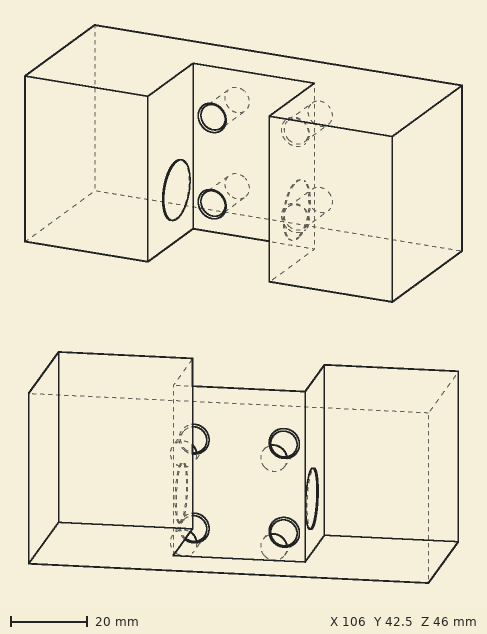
import cadquery as cq

length = 106.0
depth = 42.5
height = 46.0

slot_width = 35.0
slot_depth = 27.5

hole_diameter = 7.0
hole_chamfer = 0.5
hole_spacing = 24.0
hole_pattern_bottom = 7.7

pad_diameter = 16.0
pad_thickness = 0.3
pad_from_front = 17.0
pad_above_base = 14.3

base_z = -height / 2
hole_pattern_z = base_z + hole_pattern_bottom + hole_spacing / 2


def make_block():
    block = cq.Workplane("XY").box(length, depth, height).translate((0, depth / 2, 0))
    slot = cq.Workplane("XY").box(slot_width, slot_depth, height)
    return block.cut(slot.translate((0, slot_depth / 2, 0)))


def make_hole(x, z):
    """Through hole with a chamfered mouth on the slot floor."""
    axis = cq.Vector(0, 1, 0)
    mouth = cq.Vector(x, slot_depth, z)
    radius = hole_diameter / 2
    bore = cq.Solid.makeCylinder(radius, depth - slot_depth, mouth, axis)
    countersink = cq.Solid.makeCone(radius + hole_chamfer, radius, hole_chamfer, mouth, axis)
    return bore.fuse(countersink)


def make_pad(side):
    """Disc standing on a slot wall; side is -1 for left and 1 for right."""
    center = cq.Vector(side * slot_width / 2, pad_from_front, base_z + pad_above_base)
    return cq.Solid.makeCylinder(pad_diameter / 2, pad_thickness, center, cq.Vector(-side, 0, 0))


result = make_block()
for x_side in (-1, 1):
    for z_side in (-1, 1):
        hole_x = x_side * hole_spacing / 2
        hole_z = hole_pattern_z + z_side * hole_spacing / 2
        result = result.cut(make_hole(hole_x, hole_z))
    result = result.union(make_pad(x_side))